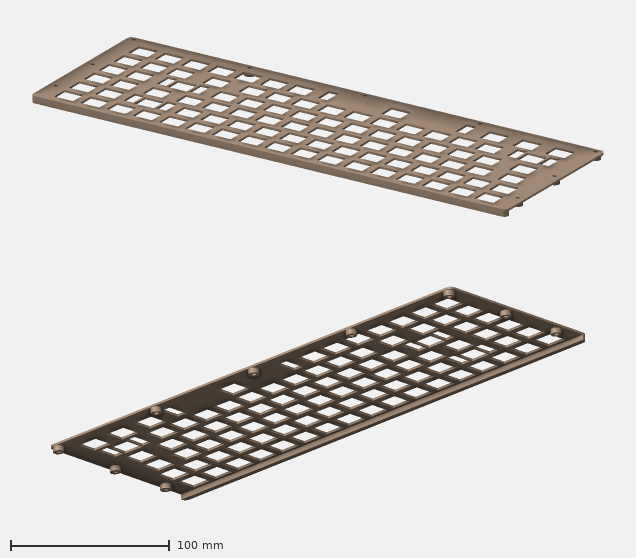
import cadquery as cq


PLATE_WIDTH = 345.0
PLATE_DEPTH = 127.45
PLATE_THICKNESS = 1.5
CORNER_RADIUS = 3.5
TILT_ANGLE = 5.0

RIM_HEIGHT = 5.0
RIM_DEPTH = 4.0

BOSS_DIAMETER = 7.0
BOSS_LENGTH = RIM_HEIGHT
SCREW_HOLE_DIAMETER = 3.0
BOSS_SIDE_INSET = 5.0
BOSS_BACK_INSET = 3.65
BACK_BOSS_COUNT = 5
BOSS_MIDDLE_OFFSET = 53.0
BOSS_FRONT_OFFSET = 100.0

KEY_PITCH = 19.05
KEY_SIZE = 14.0
COLUMN_COUNT = 17
FIRST_KEY_LEFT_INSET = (PLATE_WIDTH - (COLUMN_COUNT - 1) * KEY_PITCH) / 2
FIRST_ROW_FRONT_INSET = 13.5

STABILISER_WIDTH = 7.0
STABILISER_LENGTH = 15.0
STABILISER_SHIFT = 1.5
SHORT_STABILISER_REACH = 11.9
SPACE_STABILISER_REACH = 50.0


def key_run(first, count):
    """Positions, in key pitches, of neighbouring keys one pitch apart."""
    return [first + step for step in range(count)]


KEY_ROWS = [
    key_run(0, COLUMN_COUNT),
    key_run(0, 2) + [2.5] + key_run(4, 13),
    key_run(0, 2) + [2.25] + key_run(3.5, 12) + [15.75],
    key_run(0, 2) + [2.625] + key_run(4.25, 11) + [15.625],
    key_run(0, 3) + [3.375] + key_run(4.75, 10) + [15.375],
    key_run(0, 7) + [9.625, 13.375, 14.625, 15.875],
]

STABILISED_KEYS = [
    (1, 2.5, SHORT_STABILISER_REACH),
    (3, 2.625, SHORT_STABILISER_REACH),
    (4, 15.375, SHORT_STABILISER_REACH),
    (5, 9.625, SPACE_STABILISER_REACH),
]


def key_centre(row, position):
    x = -PLATE_WIDTH / 2 + FIRST_KEY_LEFT_INSET + position * KEY_PITCH
    y = -PLATE_DEPTH / 2 + FIRST_ROW_FRONT_INSET + row * KEY_PITCH
    return x, y


def rounded_slab(height):
    """Slab with the plate outline, reaching down from Z = 0."""
    slab = cq.Workplane("XY").rect(PLATE_WIDTH, PLATE_DEPTH).extrude(-height)
    return slab.edges("|Z").fillet(CORNER_RADIUS)


def front_rim():
    """Strip along the -Y edge that follows the rounded plate corners."""
    strip = (
        cq.Workplane("XY")
        .center(0, (RIM_DEPTH - PLATE_DEPTH) / 2)
        .rect(PLATE_WIDTH, RIM_DEPTH)
        .extrude(-RIM_HEIGHT)
    )
    return rounded_slab(RIM_HEIGHT).intersect(strip)


def boss_centres():
    side_x = PLATE_WIDTH / 2 - BOSS_SIDE_INSET
    back_y = PLATE_DEPTH / 2 - BOSS_BACK_INSET
    spacing = 2 * side_x / (BACK_BOSS_COUNT - 1)
    centres = [(-side_x + index * spacing, back_y) for index in range(BACK_BOSS_COUNT)]
    for offset in (BOSS_MIDDLE_OFFSET, BOSS_FRONT_OFFSET):
        centres += [(-side_x, back_y - offset), (side_x, back_y - offset)]
    return centres


def pins(diameter):
    """Cylinders at all boss centres, from the plate top to the boss ends."""
    return (
        cq.Workplane("XY")
        .pushPoints(boss_centres())
        .circle(diameter / 2)
        .extrude(-BOSS_LENGTH)
    )


def plate_cutters(centres, width, length):
    """Rectangular through cutters at the given centres."""
    return (
        cq.Workplane("XY")
        .pushPoints(centres)
        .rect(width, length)
        .extrude(-PLATE_THICKNESS)
    )


def key_cutters():
    centres = []
    for row, positions in enumerate(KEY_ROWS):
        centres += [key_centre(row, position) for position in positions]
    return plate_cutters(centres, KEY_SIZE, KEY_SIZE)


def stabiliser_cutters():
    centres = []
    for row, position, reach in STABILISED_KEYS:
        x, y = key_centre(row, position)
        centres += [(x + side * reach, y + STABILISER_SHIFT) for side in (-1, 1)]
    return plate_cutters(centres, STABILISER_WIDTH, STABILISER_LENGTH)


plate = rounded_slab(PLATE_THICKNESS).union(front_rim()).union(pins(BOSS_DIAMETER))
plate = plate.cut(pins(SCREW_HOLE_DIAMETER)).cut(key_cutters()).cut(stabiliser_cutters())
result = plate.rotate((0, 0, 0), (1, 0, 0), -TILT_ANGLE)